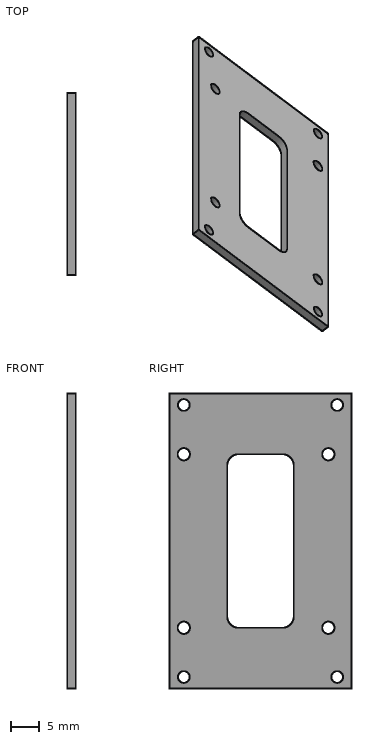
import cadquery as cq

thickness = 1.5
width = 31.5
height = 51.0

window_width = 11.5
window_height = 30.0
window_corner_radius = 2.0

corner_hole_diameter = 2.0
corner_hole_y = 13.25
corner_hole_z = 23.5

inner_hole_diameter = 2.1
inner_hole_spacing_y = 25.0
inner_hole_right_y = -corner_hole_y
inner_hole_left_y = inner_hole_right_y + inner_hole_spacing_y
inner_hole_z = window_height / 2


def through_holes(diameter, y_positions, z_offset):
    """Cylinders along X at each Y position, above and below the centre."""
    centres = [(y, z) for y in y_positions for z in (-z_offset, z_offset)]
    return (
        cq.Workplane("YZ")
        .pushPoints(centres)
        .circle(diameter / 2)
        .extrude(thickness, both=True)
    )


plate = cq.Workplane("XY").box(thickness, width, height)

window = (
    cq.Workplane("XY")
    .box(2 * thickness, window_width, window_height)
    .edges("|X")
    .fillet(window_corner_radius)
)

corner_holes = through_holes(corner_hole_diameter, (-corner_hole_y, corner_hole_y), corner_hole_z)
inner_holes = through_holes(inner_hole_diameter, (inner_hole_right_y, inner_hole_left_y), inner_hole_z)

result = plate.cut(window).cut(corner_holes).cut(inner_holes)